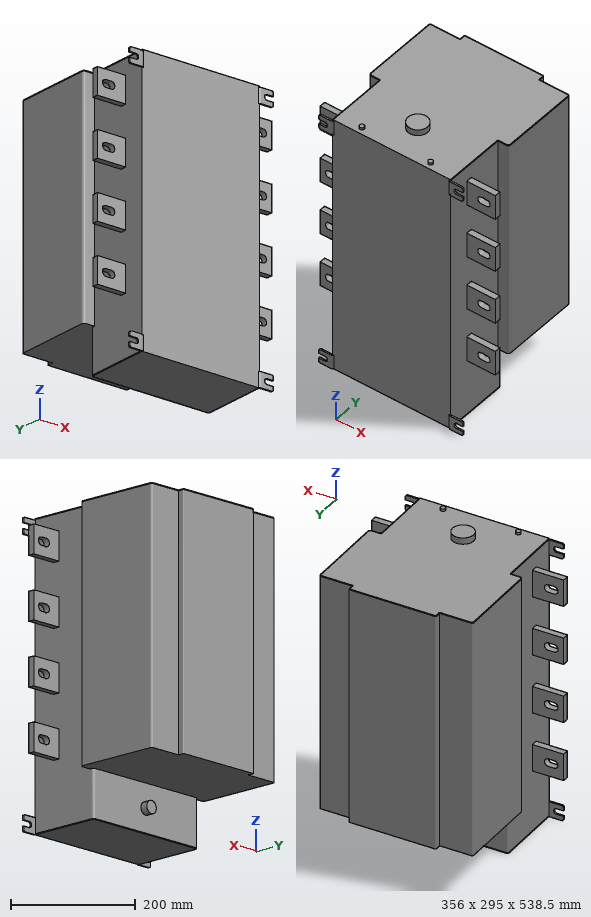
import cadquery as cq
OVERALL_WIDTH = 356.0
OVERALL_DEPTH = 295.0
OVERALL_HEIGHT = 538.5

BASE_WIDTH = 240.0
BASE_FRONT = 2.0
BASE_REAR = 133.0
CASE_TOP = 527.0
BASE_REAR_RADIUS = 4.5

END_SHEET_THICKNESS = 1.5
END_SHEET_INSET = 0.5

COVER_WIDTH = 284.5
COVER_FRONT = 125.0
COVER_BOTTOM = 85.0
COVER_FRONT_RADIUS = 5.0
COVER_REAR_RADIUS = 3.0
PANEL_WIDTH = 161.5
PANEL_RAISE = 12.0
PANEL_RADIUS = 1.5

BAR_COUNT = 4
BAR_PITCH = 110.0
BAR_HEIGHT = 50.0
BAR_THICKNESS = 12.0
BAR_CENTRE_Y = 50.0
LOWEST_BAR_Z = 140.5
BAR_SLOT_LENGTH = 25.0
BAR_SLOT_HEIGHT = 14.0
BAR_SLOT_EDGE_GAP = 23.0

BRACKET_SPAN = 293.0
BRACKET_HEIGHT = 28.5
BRACKET_THICKNESS = 3.0
BRACKET_INNER_X = 115.5
BRACKET_BEND_RADIUS = 7.0
BRACKET_LEG_DEPTH = 16.0
BRACKET_CORNER_RADIUS = 3.0
BRACKET_SLOT_WIDTH = 10.0
BRACKET_SLOT_DEPTH = 18.0
BRACKET_TOP_GAP = 2.5

TOP_KNOB_DIAMETER = 39.5
TOP_KNOB_Y = 70.5
PIN_DIAMETER = 9.0
PIN_HEIGHT = 4.5
PIN_SPACING = 139.5
PIN_Y = 14.5
REAR_KNOB_DIAMETER = 22.0
REAR_KNOB_LENGTH = 13.0
REAR_KNOB_Z = 42.5


def block(width, y_start, y_end, z_start, z_end):
    """Box centred on X = 0 between the given Y and Z limits."""
    return cq.Workplane("XY").box(
        width, y_end - y_start, z_end - z_start, centered=(True, False, False)
    ).translate((0, y_start, z_start))


def mirrored(half):
    """Join a left or right feature with its mirror image across X = 0."""
    return half.union(half.mirror("YZ"))


def make_housing(inset, z_bottom, z_top):
    """Base box and cover, with every upright face but the flat front one moved in by the inset."""
    base = block(BASE_WIDTH - 2 * inset, BASE_FRONT, BASE_REAR - inset, z_bottom, z_top)
    base = base.edges("|Z and >Y").fillet(BASE_REAR_RADIUS)
    cover_front = COVER_FRONT + inset
    cover_rear = OVERALL_DEPTH - PANEL_RAISE - inset
    cover = block(COVER_WIDTH - 2 * inset, cover_front, cover_rear, COVER_BOTTOM, z_top)
    cover = cover.edges("|Z and <Y").fillet(COVER_FRONT_RADIUS)
    cover = cover.edges("|Z and >Y").fillet(COVER_REAR_RADIUS)
    panel = block(PANEL_WIDTH - 2 * inset, cover_front, OVERALL_DEPTH - inset, COVER_BOTTOM, z_top)
    panel = panel.edges("|Z and >Y").fillet(PANEL_RADIUS)
    return base.union(cover).union(panel)


def make_case():
    """Housing closed by end sheets set in slightly from its walls."""
    walls = make_housing(0, END_SHEET_THICKNESS, CASE_TOP - END_SHEET_THICKNESS)
    core = make_housing(END_SHEET_INSET, 0, CASE_TOP)
    return walls.union(core)


def make_bar(z_centre):
    """Flat bar running through the base box, slotted at both ends."""
    bar = block(
        OVERALL_WIDTH,
        BAR_CENTRE_Y - BAR_THICKNESS / 2,
        BAR_CENTRE_Y + BAR_THICKNESS / 2,
        z_centre - BAR_HEIGHT / 2,
        z_centre + BAR_HEIGHT / 2,
    )
    slot_x = OVERALL_WIDTH / 2 - BAR_SLOT_EDGE_GAP
    slots = (
        cq.Workplane("XZ", origin=(0, BAR_CENTRE_Y, z_centre))
        .pushPoints([(-slot_x, 0), (slot_x, 0)])
        .slot2D(BAR_SLOT_LENGTH, BAR_SLOT_HEIGHT)
        .extrude(BAR_THICKNESS, both=True)
    )
    return bar.cut(slots)


def make_bracket(z_bottom):
    """Right-hand bent angle: slotted leg outward, second leg inside the base box."""
    outer_x = BRACKET_SPAN / 2
    bracket = (
        cq.Workplane("XY", origin=(0, 0, z_bottom))
        .moveTo(outer_x, 0)
        .lineTo(BRACKET_INNER_X + BRACKET_BEND_RADIUS, 0)
        .radiusArc((BRACKET_INNER_X, BRACKET_BEND_RADIUS), BRACKET_BEND_RADIUS)
        .lineTo(BRACKET_INNER_X, BRACKET_LEG_DEPTH)
        .lineTo(BRACKET_INNER_X + BRACKET_THICKNESS, BRACKET_LEG_DEPTH)
        .lineTo(BRACKET_INNER_X + BRACKET_THICKNESS, BRACKET_THICKNESS)
        .lineTo(outer_x, BRACKET_THICKNESS)
        .close()
        .extrude(BRACKET_HEIGHT)
    )
    bracket = bracket.edges("|Y and >X").fillet(BRACKET_CORNER_RADIUS)
    slot = (
        cq.Workplane("XZ", origin=(outer_x, 0, z_bottom + BRACKET_HEIGHT / 2))
        .slot2D(2 * BRACKET_SLOT_DEPTH, BRACKET_SLOT_WIDTH)
        .extrude(BRACKET_THICKNESS, both=True)
    )
    return bracket.cut(slot)


def make_top_fittings():
    top = cq.Workplane("XY", origin=(0, 0, CASE_TOP))
    knob = top.center(0, TOP_KNOB_Y).circle(TOP_KNOB_DIAMETER / 2).extrude(OVERALL_HEIGHT - CASE_TOP)
    pins = (
        cq.Workplane("XY", origin=(0, PIN_Y, CASE_TOP))
        .pushPoints([(-PIN_SPACING / 2, 0), (PIN_SPACING / 2, 0)])
        .circle(PIN_DIAMETER / 2)
        .extrude(PIN_HEIGHT)
    )
    return knob.union(pins)


def make_rear_knob():
    rear = cq.Workplane("XZ", origin=(0, BASE_REAR, REAR_KNOB_Z))
    return rear.circle(REAR_KNOB_DIAMETER / 2).extrude(-REAR_KNOB_LENGTH)


result = make_case().union(make_top_fittings()).union(make_rear_knob())

for index in range(BAR_COUNT):
    result = result.union(make_bar(LOWEST_BAR_Z + index * BAR_PITCH))

upper_bracket_z = CASE_TOP - BRACKET_TOP_GAP - BRACKET_HEIGHT
for bracket_z in (0, upper_bracket_z):
    result = result.union(mirrored(make_bracket(bracket_z)))